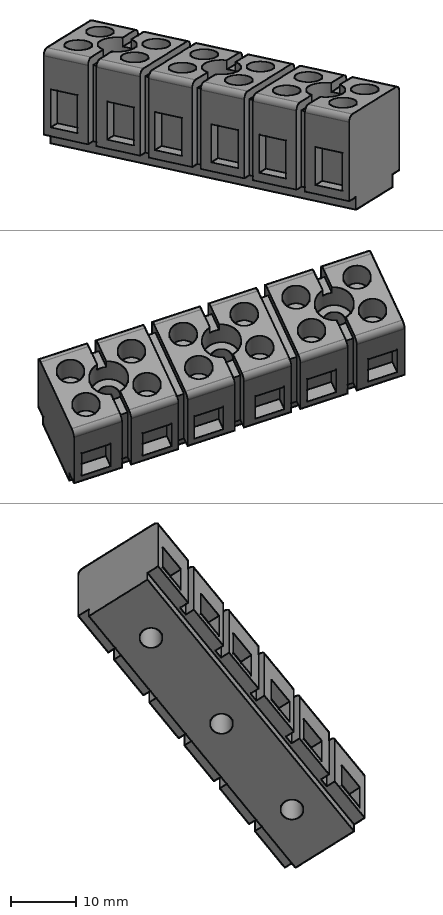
import cadquery as cq

pole_count = 6
length = 54.25
housing_width = 15.0
housing_height = 14.0
foot_width = 11.0
foot_height = 2.1
top_edge_radius = 1.0
top_z = foot_height + housing_height

pole_pitch = 9.25
groove_width = 1.5
groove_depth = 1.5

mounting_hole_diameter = 3.5
counterbore_diameter = 6.0
counterbore_depth = 5.0

terminal_offset = 5.0
screw_hole_diameter = 4.25
screw_hole_depth = 5.0
screw_row_offset = 3.25
wire_opening_width = 4.75
wire_opening_height = 6.25
wire_opening_depth = 2.0
wire_opening_bottom_z = 3.55

groove_positions = [
    (index - (pole_count - 2) / 2) * pole_pitch for index in range(pole_count - 1)
]
mounting_positions = groove_positions[::2]
terminal_positions = [
    x + side * terminal_offset for x in mounting_positions for side in (-1, 1)
]


def box_on(bottom_z, size_x, size_y, size_z):
    """Box centred in X and Y with its underside at bottom_z."""
    return (
        cq.Workplane("XY")
        .workplane(offset=bottom_z)
        .box(size_x, size_y, size_z, centered=(True, True, False))
    )


def make_block():
    """Housing with rounded long top edges on its foot."""
    housing = box_on(foot_height, length, housing_width, housing_height)
    housing = housing.faces(">Z").edges("|X").fillet(top_edge_radius)
    foot = box_on(0, length, foot_width, foot_height)
    return housing.union(foot)


def make_grooves():
    """Slices of the housing that leave a smaller plain core standing."""
    core_width = housing_width - 2 * groove_depth
    core_height = housing_height - groove_depth
    groove = box_on(foot_height, groove_width, housing_width, housing_height)
    groove = groove.cut(box_on(foot_height, groove_width, core_width, core_height))
    grooves = cq.Workplane("XY")
    for x in groove_positions:
        grooves = grooves.add(groove.translate((x, 0, 0)))
    return grooves.combine()


def make_bores(points, diameter, depth):
    """Round cutters reaching down from the top face."""
    return (
        cq.Workplane("XY")
        .workplane(offset=top_z)
        .pushPoints(points)
        .circle(diameter / 2)
        .extrude(-depth)
    )


def cut_mounting_holes(body):
    """Through holes with wide counterbores that straddle the grooves."""
    points = [(x, 0) for x in mounting_positions]
    body = body.cut(make_bores(points, mounting_hole_diameter, top_z))
    return body.cut(make_bores(points, counterbore_diameter, counterbore_depth))


def cut_screw_holes(body):
    """Blind holes in two rows along the top face."""
    points = [
        (x, side * screw_row_offset) for x in terminal_positions for side in (-1, 1)
    ]
    return body.cut(make_bores(points, screw_hole_diameter, screw_hole_depth))


def cut_wire_openings(body):
    """Rectangular blind openings in both long sides."""
    opening = box_on(
        wire_opening_bottom_z, wire_opening_width, wire_opening_depth, wire_opening_height
    )
    opening_y = (housing_width - wire_opening_depth) / 2
    for x in terminal_positions:
        for side in (-1, 1):
            body = body.cut(opening.translate((x, side * opening_y, 0)))
    return body


block = make_block().cut(make_grooves())
block = cut_mounting_holes(block)
block = cut_screw_holes(block)
result = cut_wire_openings(block)